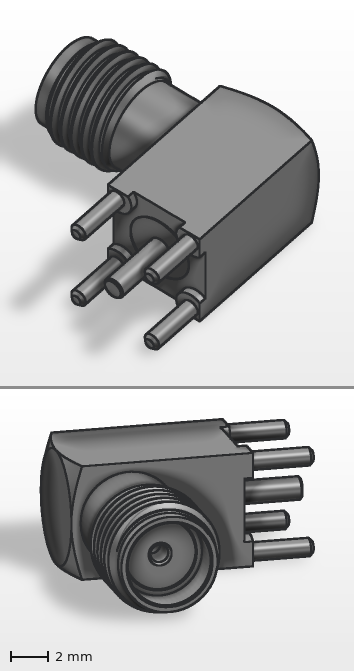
import cadquery as cq


TOTAL_LENGTH = 14.8
TOTAL_DEPTH = 13.5
BODY_WIDTH = 6.35

PIN_LENGTH = 3.45
FOOT_HEIGHT = 0.47
FOOT_RADIUS = 0.99
BACK_CORNER_DROP = 0.59

PIN_SPACING = 5.08
PIN_RADIUS = 0.5
PIN_CHAMFER = 0.2

INSULATOR_RADIUS = 2.01
INSULATOR_RECESS = 0.06
INSULATOR_BEVEL_WIDTH = 0.06
INSULATOR_BEVEL_DEPTH = 0.1
CONTACT_RADIUS = 0.64
CONTACT_CHAMFER = 0.09
SOCKET_RADIUS = 0.49
SOCKET_BEVEL_DEPTH = 0.15
SOCKET_DEPTH = 1.78
SOCKET_POINT_LENGTH = 0.3

BARREL_RADIUS = 2.66
BORE_RADIUS = 2.3
BORE_DEPTH = 1.9
BORE_CHAMFER = 0.09

THREAD_START = 0.73
THREAD_END = 5.1
THREAD_MAJOR_RADIUS = 3.14
THREAD_ROOT_RADIUS = 2.78
THREAD_PITCH = 0.71
CREST_WIDTH = THREAD_PITCH / 8
ROOT_WIDTH = 0.2
CUTTER_OVERLAP = 0.07

HALF_WIDTH = BODY_WIDTH / 2
MOUTH_X = HALF_WIDTH - TOTAL_LENGTH
PIN_END_Y = HALF_WIDTH - TOTAL_DEPTH
FOOT_Y = PIN_END_Y + PIN_LENGTH
FLOOR_Y = FOOT_Y + FOOT_HEIGHT


def cylinder_along_y(start_y, end_y, radius, x=0.0, z=0.0):
    """Cylinder parallel to Y between two Y positions."""
    axis_plane = cq.Plane(origin=(x, start_y, z), xDir=(1, 0, 0), normal=(0, 1, 0))
    return cq.Workplane(axis_plane).circle(radius).extrude(end_y - start_y)


def revolve_about_barrel_axis(points):
    """Revolve (distance from mouth, radius) points about the barrel axis."""
    profile = cq.Workplane("XY", origin=(MOUTH_X, 0, 0)).polyline(points).close()
    return profile.revolve(360, (0, 0, 0), (1, 0, 0))


def pin_positions():
    half = PIN_SPACING / 2
    return [(x, z) for x in (-half, half) for z in (-half, half)]


def make_body():
    """Square block with conically trimmed back corners and four corner feet."""
    block = cq.Workplane("XY").box(BODY_WIDTH, HALF_WIDTH - FLOOR_Y, BODY_WIDTH)
    block = block.translate((0, (HALF_WIDTH + FLOOR_Y) / 2, 0))
    for x, z in pin_positions():
        block = block.union(cylinder_along_y(FOOT_Y, FLOOR_Y, FOOT_RADIUS, x, z))

    corner_radius = HALF_WIDTH * 2 ** 0.5
    envelope = (
        cq.Workplane("XY")
        .moveTo(0, FOOT_Y)
        .lineTo(corner_radius, FOOT_Y)
        .lineTo(corner_radius, HALF_WIDTH - BACK_CORNER_DROP)
        .lineTo(HALF_WIDTH, HALF_WIDTH)
        .lineTo(0, HALF_WIDTH)
        .close()
        .revolve(360, (0, 0, 0), (0, 1, 0))
    )
    square_prism = cq.Workplane("XY").box(BODY_WIDTH, 2 * TOTAL_DEPTH, BODY_WIDTH)
    return block.intersect(square_prism).intersect(envelope)


def make_pin(radius, chamfer, base_y, x=0.0, z=0.0):
    pin = cylinder_along_y(PIN_END_Y, base_y, radius, x, z)
    return pin.faces("<Y").chamfer(chamfer)


def make_thread():
    """Bevelled sleeve with a right-handed helical groove."""
    bevel = THREAD_MAJOR_RADIUS - BARREL_RADIUS
    sleeve = revolve_about_barrel_axis([
        (THREAD_START, 0),
        (THREAD_START, BARREL_RADIUS),
        (THREAD_START + bevel, THREAD_MAJOR_RADIUS),
        (THREAD_END - bevel, THREAD_MAJOR_RADIUS),
        (THREAD_END, BARREL_RADIUS),
        (THREAD_END, 0),
    ])

    root_half = ROOT_WIDTH / 2
    mouth_half = (THREAD_PITCH - CREST_WIDTH) / 2
    flank_slope = (mouth_half - root_half) / (THREAD_MAJOR_RADIUS - THREAD_ROOT_RADIUS)
    outer_half = mouth_half + flank_slope * CUTTER_OVERLAP
    outer_radius = THREAD_MAJOR_RADIUS + CUTTER_OVERLAP
    helix_length = THREAD_END + THREAD_PITCH
    helix = cq.Wire.makeHelix(THREAD_PITCH, helix_length, THREAD_ROOT_RADIUS)
    groove = (
        cq.Workplane("XZ")
        .polyline([
            (THREAD_ROOT_RADIUS, -root_half),
            (outer_radius, -outer_half),
            (outer_radius, outer_half),
            (THREAD_ROOT_RADIUS, root_half),
        ])
        .close()
        .sweep(cq.Workplane(obj=helix), isFrenet=True)
    )
    groove = groove.rotate((0, 0, 0), (1, 1, 1), 120).translate((MOUTH_X, 0, 0))

    rod_start = -2 * THREAD_PITCH
    rod_end = helix_length + 2 * THREAD_PITCH
    rod = revolve_about_barrel_axis([
        (rod_start, 0),
        (rod_start, THREAD_MAJOR_RADIUS),
        (rod_end, THREAD_MAJOR_RADIUS),
        (rod_end, 0),
    ])
    return rod.cut(groove).intersect(sleeve)


def make_barrel():
    """Plain tube with the thread, before its bore is cut."""
    tube = revolve_about_barrel_axis([
        (0, 0),
        (0, BARREL_RADIUS),
        (-MOUTH_X, BARREL_RADIUS),
        (-MOUTH_X, 0),
    ])
    return tube.union(make_thread())


def make_barrel_cavity():
    """Mating bore, bevelled insulator face and contact socket with a conical bottom."""
    face = BORE_DEPTH + INSULATOR_RECESS
    socket_end = face + SOCKET_DEPTH
    return revolve_about_barrel_axis([
        (0, 0),
        (0, BORE_RADIUS + BORE_CHAMFER),
        (BORE_CHAMFER, BORE_RADIUS),
        (BORE_DEPTH, BORE_RADIUS),
        (BORE_DEPTH, INSULATOR_RADIUS),
        (face + INSULATOR_BEVEL_DEPTH, INSULATOR_RADIUS),
        (face, INSULATOR_RADIUS - INSULATOR_BEVEL_WIDTH),
        (face, CONTACT_RADIUS),
        (face + SOCKET_BEVEL_DEPTH, SOCKET_RADIUS),
        (socket_end, SOCKET_RADIUS),
        (socket_end + SOCKET_POINT_LENGTH, 0),
    ])


insulator_floor_y = FLOOR_Y + INSULATOR_RECESS

result = make_body().union(make_barrel()).cut(make_barrel_cavity())
result = result.cut(cylinder_along_y(FLOOR_Y, insulator_floor_y, INSULATOR_RADIUS))
result = result.union(make_pin(CONTACT_RADIUS, CONTACT_CHAMFER, insulator_floor_y))
for pin_x, pin_z in pin_positions():
    result = result.union(make_pin(PIN_RADIUS, PIN_CHAMFER, FOOT_Y, pin_x, pin_z))